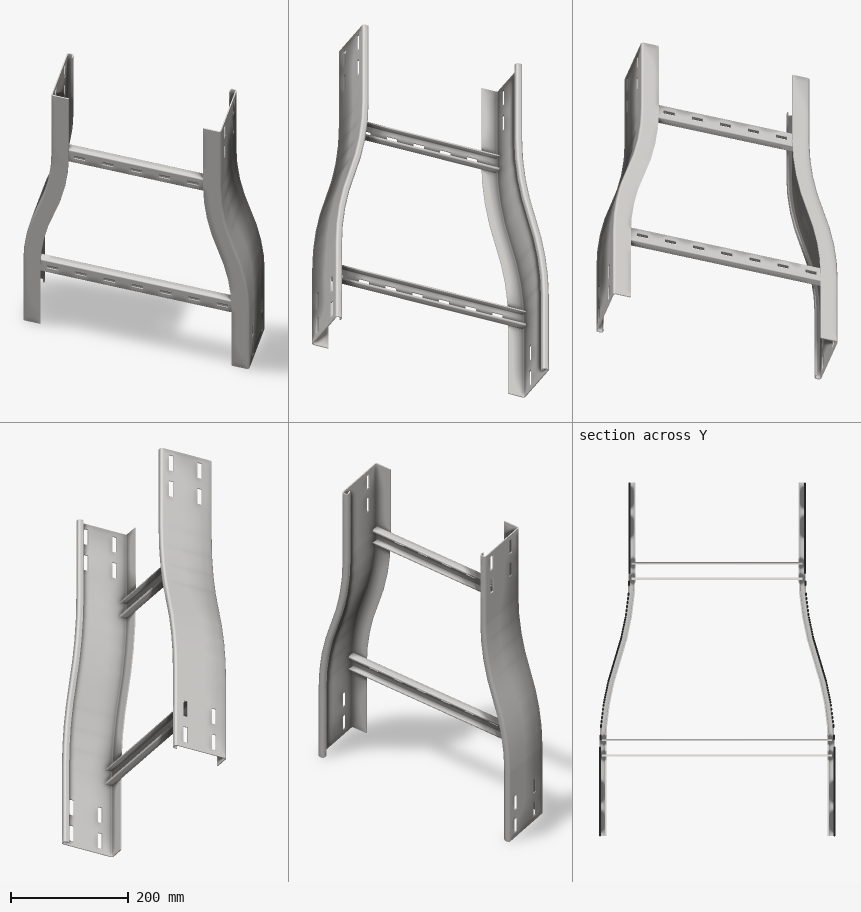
import cadquery as cq

LENGTH = 600.0
WIDE = LENGTH * 2 / 3
NARROW = LENGTH / 2
DEPTH = LENGTH / 6
FRONT = -DEPTH / 2
BACK = DEPTH / 2

RAIL_SHEET = 2.0
RUNG_SHEET = 1.5

FRONT_FLANGE = 31.0
BACK_FLANGE = 12.0
LIP = 9.0
RAIL_BEND = 4.0
CURVE_HALF = LENGTH / 4

RAIL_SLOT_LENGTH = 30.0
RAIL_SLOT_WIDTH = 8.5
RAIL_SLOT_YS = (FRONT + 25.0, BACK - 20.0)
RAIL_SLOT_END_GAPS = (LENGTH / 24, LENGTH / 8)

RUNG_HEIGHT = 30.0
RUNG_DEPTH = 14.5
RUNG_BEND = 2.1
RUNG_LIP = 3.5
RUNG_END_GAP = 5.0
RUNG_Z = LENGTH / 4

RUNG_SLOT_LENGTH = 20.0
RUNG_SLOT_HEIGHT = 7.0
RUNG_SLOT_PITCH = LENGTH / 12
WIDE_RUNG_SLOT_SHIFT = 2.5


def folded_outline(workplane, corners):
    """Closed outline through (point, radius) corners; a zero radius stays sharp."""
    points = [cq.Vector(*point) for point, _ in corners]
    outline = workplane.moveTo(points[0].x, points[0].y)
    for i in range(1, len(corners)):
        corner = points[i]
        radius = corners[i][1]
        following = points[(i + 1) % len(points)]
        start = corner + (points[i - 1] - corner).normalized() * radius
        end = corner + (following - corner).normalized() * radius
        outline = outline.lineTo(start.x, start.y)
        if radius > 0:
            outline = outline.tangentArcPoint((end.x, end.y), relative=False)
    return outline.close()


def rail_section(side):
    """Cross-section at the bottom end: web outside, flanges pointing to the middle."""
    inner_bend = RAIL_BEND - RAIL_SHEET
    lip_y = BACK - LIP
    corners = [
        (FRONT_FLANGE, FRONT, 0),
        (0, FRONT, RAIL_BEND),
        (0, BACK, RAIL_BEND),
        (BACK_FLANGE, BACK, RAIL_BEND),
        (BACK_FLANGE, lip_y, 0),
        (BACK_FLANGE - RAIL_SHEET, lip_y, 0),
        (BACK_FLANGE - RAIL_SHEET, BACK - RAIL_SHEET, inner_bend),
        (RAIL_SHEET, BACK - RAIL_SHEET, inner_bend),
        (RAIL_SHEET, FRONT + RAIL_SHEET, inner_bend),
        (FRONT_FLANGE, FRONT + RAIL_SHEET, 0),
    ]
    placed = [((side * (WIDE / 2 - inward), y), radius) for inward, y, radius in corners]
    return folded_outline(cq.Workplane("XY", origin=(0, 0, -LENGTH / 2)), placed)


def rail_path(side):
    """Line of the outer face: straight, two opposite arcs, straight."""
    wide_x = side * WIDE / 2
    narrow_x = side * NARROW / 2
    return (
        cq.Workplane("XZ")
        .moveTo(wide_x, -LENGTH / 2)
        .lineTo(wide_x, -CURVE_HALF)
        .tangentArcPoint(((wide_x + narrow_x) / 2, 0), relative=False)
        .tangentArcPoint((narrow_x, CURVE_HALF), relative=False)
        .lineTo(narrow_x, LENGTH / 2)
    )


def rail_slots():
    """Cutters for the slots near both ends, reaching through both rails."""
    centres = [
        (y, end * (LENGTH / 2 - gap))
        for end in (-1, 1)
        for gap in RAIL_SLOT_END_GAPS
        for y in RAIL_SLOT_YS
    ]
    return (
        cq.Workplane("YZ")
        .pushPoints(centres)
        .rect(RAIL_SLOT_WIDTH, RAIL_SLOT_LENGTH)
        .extrude(WIDE, both=True)
    )


def make_rail(side):
    """Side rail on the -X (side = -1) or +X (side = 1) side."""
    return rail_section(side).sweep(rail_path(side)).cut(rail_slots())


def rung_section(z, half_length):
    """C-section with its web against the front flanges and its open side to the back."""
    front = FRONT + RAIL_SHEET
    back = front + RUNG_DEPTH
    half = RUNG_HEIGHT / 2
    inner_bend = RUNG_BEND - RUNG_SHEET
    outer = [(back, RUNG_LIP - half, 0), (back, -half, RUNG_BEND), (front, -half, RUNG_BEND)]
    inner = [
        (back - RUNG_SHEET, RUNG_LIP - half, 0),
        (back - RUNG_SHEET, RUNG_SHEET - half, inner_bend),
        (front + RUNG_SHEET, RUNG_SHEET - half, inner_bend),
    ]
    outer += [(y, -height, radius) for y, height, radius in reversed(outer)]
    inner += [(y, -height, radius) for y, height, radius in reversed(inner)]
    corners = [((y, height), radius) for y, height, radius in outer + inner[::-1]]
    return folded_outline(cq.Workplane("YZ", origin=(-half_length, 0, z)), corners)


def make_rung(z, outer_width, slot_count, slot_shift):
    """Rung at height z, between rails that are outer_width apart over their outer faces."""
    half_length = outer_width / 2 - RUNG_END_GAP
    slots = (
        cq.Workplane("XZ", origin=(slot_shift, 0, z))
        .rarray(RUNG_SLOT_PITCH, 6, slot_count, 1)
        .rect(RUNG_SLOT_LENGTH, RUNG_SLOT_HEIGHT)
        .extrude(DEPTH, both=True)
    )
    return rung_section(z, half_length).extrude(2 * half_length).cut(slots)


rails = [make_rail(side) for side in (-1, 1)]

rungs = [
    make_rung(z, outer_width, slot_count, slot_shift)
    for z, outer_width, slot_count, slot_shift in (
        (-RUNG_Z, WIDE, 7, WIDE_RUNG_SLOT_SHIFT),
        (RUNG_Z, NARROW, 5, 0),
    )
]

result = cq.Compound.makeCompound([body.solids().val() for body in rails + rungs])